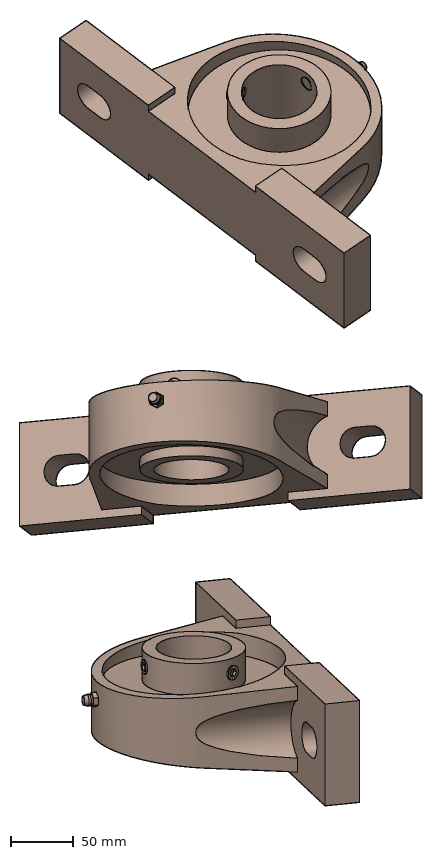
import cadquery as cq
import math


base_length = 330.0
base_thickness = 29.0
base_height = 85.5
slot_spacing = 250.0
slot_length = 38.3
slot_width = 25.5

neck_width = 124.0
neck_height = 71.5
neck_depth = 30.7
body_foot_width = 190.7
shaft_y = 84.8
body_radius = 82.0
crown_height = 49.5
scallop_floor_x = 78.2
scallop_radius = 25.7

seat_diameter = 146.2
insert_width = 35.5
collar_diameter = 82.5
bore_diameter = 60.0
collar_rise = 2.0
collar_top = base_height / 2 + collar_rise
collar_bottom = -26.0

screw_angles = (90, 210)
screw_diameter = 12.0
screw_z = 32.7
screw_projection = 1.0
screw_recess = 0.5
socket_diameter = 7.3
socket_depth = 3.0

nipple_z = 9.5
nipple_tip_y = 177.5
nipple_hex_diameter = 12.2
nipple_hex_height = 4.0
nipple_shank_diameter = 9.0
nipple_head_diameter = 9.5
nipple_tip_diameter = 7.3
nipple_band_width = 2.0
nipple_cone_height = 3.3

body_top_y = shaft_y + body_radius


def cylinder_y(diameter, start_y, end_y, x=0, z=0):
    """Cylinder along Y between two heights above the base."""
    return cq.Workplane("XZ", origin=(x, start_y, z)).circle(diameter / 2).extrude(start_y - end_y)


def cylinder_z(diameter, bottom, top):
    """Cylinder on the shaft axis."""
    return cq.Workplane("XY", origin=(0, shaft_y, bottom)).circle(diameter / 2).extrude(top - bottom)


def make_base():
    """Foot bar, full height at its ends and notched to the neck height in the middle."""
    end_length = (base_length - neck_width) / 2
    end_centre = (base_length - end_length) / 2
    base = cq.Workplane("XY").box(
        neck_width, base_thickness, neck_height, centered=(True, False, True)
    )
    for side in (-1, 1):
        end = cq.Workplane("XY").box(
            end_length, base_thickness, base_height, centered=(True, False, True)
        )
        base = base.union(end.translate((side * end_centre, 0, 0)))
    return base


def make_body():
    """Rounded housing with tangent flanks, thinning from the neck to the crown."""
    foot_x = body_foot_width / 2
    drop = shaft_y - base_thickness
    foot_distance = math.hypot(foot_x, drop)
    tangent_angle = math.acos(body_radius / foot_distance) - math.atan2(drop, foot_x)
    tangent_x = body_radius * math.cos(tangent_angle)
    tangent_y = shaft_y + body_radius * math.sin(tangent_angle)
    neck_x = neck_width / 2
    outline = (
        cq.Workplane("XY", origin=(0, 0, -neck_height / 2))
        .moveTo(-neck_x, 0)
        .lineTo(neck_x, 0)
        .lineTo(neck_x, base_thickness)
        .lineTo(foot_x, base_thickness)
        .lineTo(tangent_x, tangent_y)
        .threePointArc((0, body_top_y), (-tangent_x, tangent_y))
        .lineTo(-foot_x, base_thickness)
        .lineTo(-neck_x, base_thickness)
        .close()
        .extrude(neck_height)
    )
    side_profile = [
        (0, -neck_height / 2),
        (neck_depth, -neck_height / 2),
        (body_top_y, -crown_height / 2),
        (body_top_y, crown_height / 2),
        (neck_depth, neck_height / 2),
        (0, neck_height / 2),
    ]
    taper = cq.Workplane("YZ").polyline(side_profile).close().extrude(foot_x, both=True)
    return outline.intersect(taper)


def make_scallops():
    """Round grooves that hollow both flanks above the foot bar."""
    axis_x = scallop_floor_x + scallop_radius
    left = cylinder_y(2 * scallop_radius, base_thickness, body_top_y, x=-axis_x)
    return left.union(left.mirror("YZ"))


def make_slots():
    """Mounting slots through the foot bar."""
    return (
        cq.Workplane("XZ")
        .pushPoints([(-slot_spacing / 2, 0), (slot_spacing / 2, 0)])
        .slot2D(slot_length, slot_width)
        .extrude(-base_thickness)
    )


def make_seat_recess(side):
    """Open end of the bearing seat on the upper (1) or lower (-1) face."""
    floor = side * insert_width / 2
    rim = side * base_height / 2
    return cylinder_z(seat_diameter, min(floor, rim), max(floor, rim))


def place_screw_feature(shape, angle):
    """Turn a shape lying along X to the screw angle, then lift it to the screw height."""
    return shape.rotate((0, 0, 0), (0, 0, 1), angle).translate((0, shaft_y, screw_z))


def add_set_screw(part, angle):
    """Screw slightly proud of the collar, set back from the bore, with a hexagonal socket."""
    screw_start = bore_diameter / 2 + screw_recess
    screw_end = collar_diameter / 2 + screw_projection
    hole = cq.Workplane("YZ").circle(screw_diameter / 2).extrude(screw_start)
    screw = (
        cq.Workplane("YZ", origin=(screw_start, 0, 0))
        .circle(screw_diameter / 2)
        .extrude(screw_end - screw_start)
    )
    socket = (
        cq.Workplane("YZ", origin=(screw_end - socket_depth, 0, 0))
        .polygon(6, socket_diameter)
        .extrude(socket_depth)
    )
    part = part.cut(place_screw_feature(hole, angle))
    part = part.union(place_screw_feature(screw, angle))
    return part.cut(place_screw_feature(socket, angle))


def make_nipple():
    """Hexagonal grease nipple with a banded, tapered head, rooted in the crown."""
    root_y = body_top_y - nipple_hex_height
    hex_top = body_top_y + nipple_hex_height
    hexagon = (
        cq.Workplane("XZ", origin=(0, root_y, nipple_z))
        .transformed(rotate=(0, 0, 90))
        .polygon(6, nipple_hex_diameter)
        .extrude(root_y - hex_top)
    )
    cone_base_y = nipple_tip_y - nipple_cone_height
    band_base_y = cone_base_y - nipple_band_width
    head_profile = [
        (0, hex_top),
        (nipple_shank_diameter / 2, hex_top),
        (nipple_shank_diameter / 2, band_base_y),
        (nipple_head_diameter / 2, band_base_y),
        (nipple_head_diameter / 2, cone_base_y),
        (nipple_tip_diameter / 2, nipple_tip_y),
        (0, nipple_tip_y),
    ]
    head = cq.Workplane("XY").polyline(head_profile).close().revolve(360, (0, 0), (0, 1))
    return hexagon.union(head.translate((0, 0, nipple_z)))


result = make_base().union(make_body())
result = result.cut(make_scallops()).cut(make_slots())
for face_side in (-1, 1):
    result = result.cut(make_seat_recess(face_side))
result = result.union(cylinder_z(collar_diameter, collar_bottom, collar_top))
result = result.cut(cylinder_z(bore_diameter, collar_bottom, collar_top))
for screw_angle in screw_angles:
    result = add_set_screw(result, screw_angle)
result = result.union(make_nipple())